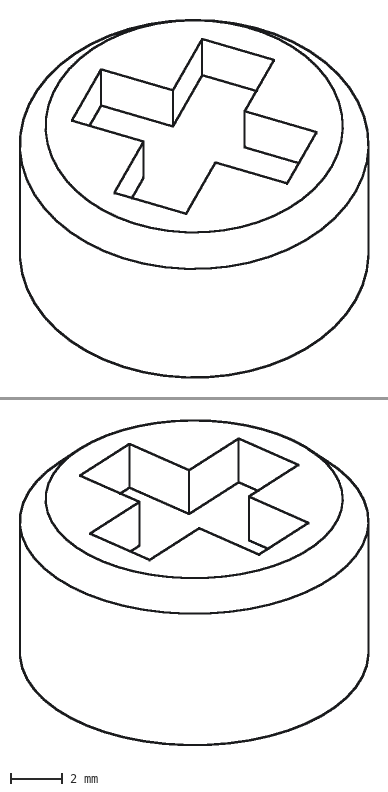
import cadquery as cq

diameter = 13.5
height = 7.0
rim_chamfer = 1.0
cross_length = 9.0
cross_width = cross_length / 3
cross_depth = 2.0


def cap_body():
    """Upright cylinder with its top edge bevelled at 45 degrees."""
    cylinder = cq.Workplane("XY").circle(diameter / 2).extrude(height)
    return cylinder.faces(">Z").edges().chamfer(rim_chamfer)


def cross_socket():
    """Two crossing bars that reach down from the top face."""
    top = cq.Workplane("XY").workplane(offset=height)
    bar_x = top.rect(cross_length, cross_width).extrude(-cross_depth)
    bar_y = top.rect(cross_width, cross_length).extrude(-cross_depth)
    return bar_x.union(bar_y)


result = cap_body().cut(cross_socket())